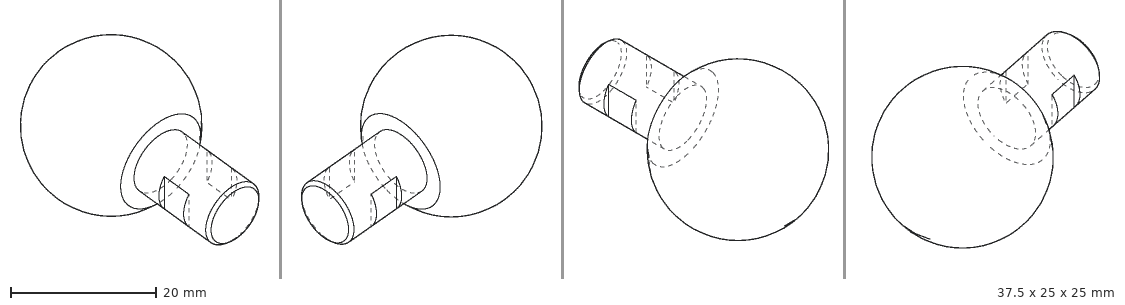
import cadquery as cq

total_length = 37.5
ball_diameter = 25.0
shank_length = 15.0
shank_diameter = 10.0
end_chamfer = 0.52
flat_length = 5.0
flat_end_distance = 5.0
across_flats = 8.0

ball_radius = ball_diameter / 2
end_x = total_length - ball_radius
ball_face_x = end_x - shank_length


def make_ball():
    """Sphere cut off flat where the shank begins."""
    sphere = cq.Workplane("XY").sphere(ball_radius)
    keep_length = ball_radius + ball_face_x
    keep = cq.Workplane("XY").box(keep_length, ball_diameter, ball_diameter)
    return sphere.intersect(keep.translate((ball_face_x - keep_length / 2, 0, 0)))


def make_shank():
    """Cylinder rooted at the ball centre, chamfered at its free end."""
    return (
        cq.Workplane("YZ")
        .circle(shank_diameter / 2)
        .extrude(end_x)
        .faces(">X")
        .chamfer(end_chamfer)
    )


def make_flat_cutter(side):
    """Block that cuts one wrench flat on the +Y (side 1) or -Y (side -1) side."""
    block = cq.Workplane("XY").box(flat_length, shank_diameter, shank_diameter)
    center_x = end_x - flat_end_distance - flat_length / 2
    center_y = side * (across_flats + shank_diameter) / 2
    return block.translate((center_x, center_y, 0))


result = make_ball().union(make_shank())
for side in (-1, 1):
    result = result.cut(make_flat_cutter(side))